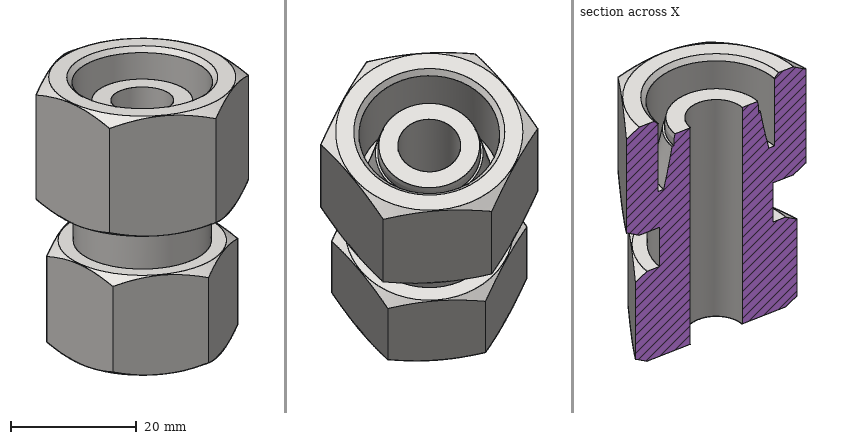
import cadquery as cq
import math

total_height = 46.0
lower_hex_height = 17.5
neck_height = 7.5
upper_hex_bottom = lower_hex_height + neck_height

upper_across_flats = 30.0
lower_across_flats = 27.0
hex_chamfer_angle = 30.0
chamfer_circle_inset = 0.25

neck_diameter = 22.0
bore_diameter = 10.0

socket_diameter = 22.35
socket_chamfer = 0.85

nose_tip_depth = 4.0
nose_tip_diameter = 16.0
nose_collar_diameter = 16.38
nose_tip_taper_height = 0.87
nose_collar_height = 2.2
cone_top_diameter = 17.1
cone_base_diameter = 20.4
cone_half_angle = 12.0

nose_tip_z = total_height - nose_tip_depth
ledge_z = nose_tip_z - nose_collar_height
cone_height = (cone_base_diameter - cone_top_diameter) / 2 / math.tan(math.radians(cone_half_angle))
socket_floor_z = ledge_z - cone_height


def revolve_profile(points):
    """Revolve a closed (radius, z) outline about the Z axis."""
    return cq.Workplane("XZ").polyline(points).close().revolve(360, (0, 0), (0, 1))


def chamfered_hex(across_flats, height, bottom_z):
    """Hexagonal prism whose corners are cut by a cone at both ends."""
    corner_radius = across_flats / math.sqrt(3)
    face_radius = (across_flats - chamfer_circle_inset) / 2
    drop = (corner_radius - face_radius) * math.tan(math.radians(hex_chamfer_angle))
    top_z = bottom_z + height
    prism = (
        cq.Workplane("XY", origin=(0, 0, bottom_z))
        .polygon(6, 2 * corner_radius)
        .extrude(height)
        .rotate((0, 0, 0), (0, 0, 1), 30)
    )
    envelope = revolve_profile([
        (0, bottom_z),
        (face_radius, bottom_z),
        (corner_radius, bottom_z + drop),
        (corner_radius, top_z - drop),
        (face_radius, top_z),
        (0, top_z),
    ])
    return prism.intersect(envelope)


def socket_cut():
    """Annular space between the socket wall and the nose, open at the top."""
    socket_radius = socket_diameter / 2
    collar_radius = nose_collar_diameter / 2
    return revolve_profile([
        (0, total_height),
        (socket_radius + socket_chamfer, total_height),
        (socket_radius, total_height - socket_chamfer),
        (socket_radius, socket_floor_z),
        (cone_base_diameter / 2, socket_floor_z),
        (cone_top_diameter / 2, ledge_z),
        (collar_radius, ledge_z),
        (collar_radius, nose_tip_z - nose_tip_taper_height),
        (nose_tip_diameter / 2, nose_tip_z),
        (0, nose_tip_z),
    ])


lower_hex = chamfered_hex(lower_across_flats, lower_hex_height, 0)
upper_hex = chamfered_hex(upper_across_flats, total_height - upper_hex_bottom, upper_hex_bottom)
neck = cq.Workplane("XY", origin=(0, 0, lower_hex_height)).circle(neck_diameter / 2).extrude(neck_height)
bore = cq.Workplane("XY").circle(bore_diameter / 2).extrude(total_height)

result = lower_hex.union(neck).union(upper_hex).cut(socket_cut()).cut(bore)